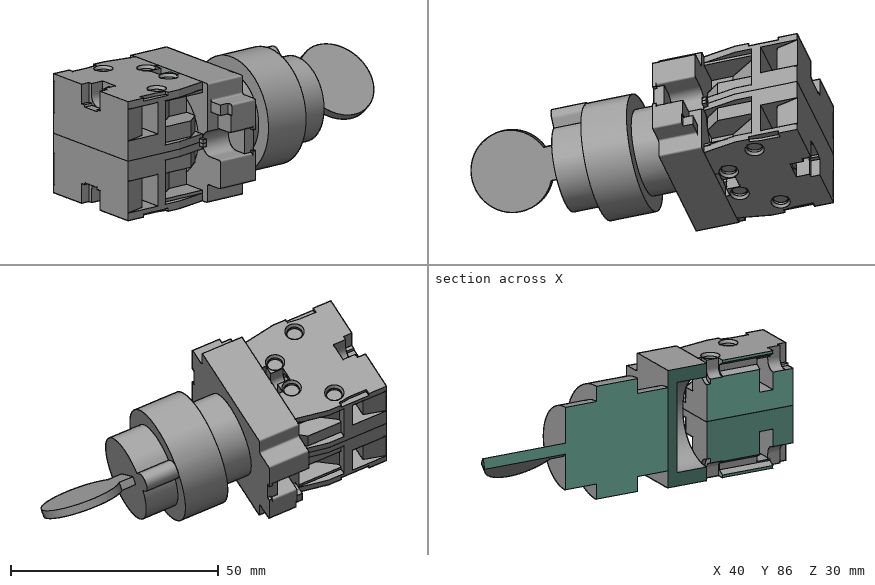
import cadquery as cq

total_length = 86.0
total_width = 40.0
total_height = 30.0
half_height = total_height / 2

block_length = 24.0
block_half_width = 14.45
block_neck_half_width = 12.9
block_taper_length = 8.3
key_tab_length = 1.0
key_tab_height = 0.95

pocket_length = 12.5
pocket_low_z = 1.9
pocket_high_z = 13.1
step_z = 5.85
step_ramp_length = 3.4
step_ramp_depth = 2.75
recess_high_z = 12.3
recess_flat_length = 5.4
recess_half_gap = 6.9
recess_end_half_gap = 12.0

window_back_y = -14.8
window_front_y = -18.4
window_low_z = 5.1
wedge_front_half_width = 14.4
wedge_back_half_width = 12.8

edge_notch_back_y = -11.7
edge_notch_bend_y = -14.5
edge_notch_front_y = -19.2
edge_notch_depth = 0.8
edge_notch_shallow_half_width = 13.5
edge_notch_deep_half_width = 13.1

screw_hole_radius = 2.3
screw_hole_floor_radius = 1.9
screw_hole_cone_depth = 0.8
screw_hole_depth = 1.4
screw_hole_places = [(4.3, -3.5), (10.3, -11.95)]

driver_slot_radius = 2.5
driver_slot_z = 12.0
mouth_length = 2.2
mouth_half_width = 3.5
mouth_shoulder_z = 10.1
mouth_floor_z = driver_slot_z - driver_slot_radius
mouth_shoulder_half_width = 2.5
mouth_floor_half_width = 2.3

terminal_z = 12.55
hex_across_corners = 3.35
rear_channel_radius = 1.8
rear_channel_end_y = -4.4
rear_mouth_half_width = 4.3
rear_mouth_length = 1.0

collar_length = 10.75
collar_half_width = 15.0
collar_fillet = 0.5
lug_half_height = 10.3
lug_half_width = total_width / 2
slot_half_height = 3.2
slot_back_half_height = 2.7
slot_back_y = 9.9
slot_web_half_width = 19.1
channel_length = 8.1
channel_center_x = 16.1
bore_radius = 11.4
bore_depth = channel_length
lug_notch_length = 3.2
catch_low_z = 7.65
catch_front_y = 1.0
catch_half_width = 18.6
catch_gap_end_y = 3.4

sleeve_radius = 10.7
ring_start_y = 19.1
ring_end_y = 30.6
ring_radius = 14.45
boss_end_y = 39.2
boss_radius = 10.6
rib_radius = 2.2
rib_center_distance = 12.5
key_angle = 45.0
key_thickness = 2.1
key_offset = 2.1
bow_radius = 10.0
key_stem_width = 8.25
key_tip_y = total_length - block_length
bow_center_y = key_tip_y - bow_radius


def box(x_range, y_range, z_range):
    """Box between two limits along each axis."""
    sizes = [limits[1] - limits[0] for limits in (x_range, y_range, z_range)]
    middles = [(limits[0] + limits[1]) / 2 for limits in (x_range, y_range, z_range)]
    return cq.Workplane("XY").box(*sizes).translate(tuple(middles))


def plan_prism(points, z_low, z_high):
    """Prism along Z over an outline of (x, y) points."""
    return cq.Workplane("XY", origin=(0, 0, z_low)).polyline(points).close().extrude(z_high - z_low)


def rod(radius, y_start, y_end, x=0.0, z=0.0):
    """Cylinder along Y."""
    return cq.Workplane("XZ", origin=(x, y_start, z)).circle(radius).extrude(y_start - y_end)


def both_sides(left_shape):
    """A shape on the -X side joined with its mirror image."""
    return left_shape.union(left_shape.mirror("YZ"))



def block_outline():
    """Block body, narrower towards the collar, with a small tab at each neck corner."""
    points = [
        (-block_neck_half_width, 0),
        (-block_half_width, -block_taper_length),
        (-block_half_width, -block_length),
        (block_half_width, -block_length),
        (block_half_width, -block_taper_length),
        (block_neck_half_width, 0),
    ]
    body = plan_prism(points, 0, half_height)
    tabs = box((-block_half_width, block_half_width), (-key_tab_length, 0), (0, key_tab_height))
    return body.union(tabs)


def side_pocket():
    """Pocket open to the side and to the collar, with a ramped step and a deeper recess above it."""
    outer = -block_half_width
    flush = -block_neck_half_width
    shallow = box((outer, flush), (-pocket_length, 0), (pocket_low_z, pocket_high_z))
    ramp = plan_prism(
        [(flush, 0), (flush + step_ramp_depth, 0), (flush, -step_ramp_length)],
        pocket_low_z,
        step_z,
    )
    recess = plan_prism(
        [
            (outer, 0),
            (-recess_half_gap, 0),
            (-recess_half_gap, -recess_flat_length),
            (-recess_end_half_gap, -pocket_length),
            (outer, -pocket_length),
        ],
        step_z,
        recess_high_z,
    )
    return both_sides(shallow.union(ramp).union(recess))


def side_window():
    """Window through the block along X, flared to the front on either side of a solid core."""
    passage = box(
        (-block_half_width, block_half_width),
        (window_front_y, window_back_y),
        (window_low_z, pocket_high_z),
    )
    flare = plan_prism(
        [
            (-block_half_width, window_front_y),
            (-wedge_back_half_width, window_front_y),
            (-wedge_front_half_width, -block_length),
            (-block_half_width, -block_length),
        ],
        window_low_z,
        pocket_high_z,
    )
    return passage.union(both_sides(flare))


def edge_notches():
    """Shallow stepped notches in the two long edges of the outer face."""
    notch = plan_prism(
        [
            (-block_half_width, edge_notch_back_y),
            (-edge_notch_shallow_half_width, edge_notch_back_y),
            (-edge_notch_deep_half_width, edge_notch_bend_y),
            (-edge_notch_deep_half_width, edge_notch_front_y),
            (-block_half_width, edge_notch_front_y),
        ],
        half_height - edge_notch_depth,
        half_height,
    )
    return both_sides(notch)


def screw_hole(x, y):
    """Shallow recess in the outer face, conical at the top and straight below."""
    cone = (
        cq.Workplane("XY", origin=(x, y, half_height))
        .circle(screw_hole_radius)
        .workplane(offset=-screw_hole_cone_depth)
        .circle(screw_hole_floor_radius)
        .loft()
    )
    straight = (
        cq.Workplane("XY", origin=(x, y, half_height))
        .circle(screw_hole_floor_radius)
        .extrude(-screw_hole_depth)
    )
    return cone.union(straight)


def open_channel(radius, y_start, y_end, center_z):
    """Round-bottomed channel along Y, open to the outer face."""
    upper = box((-radius, radius), (y_end, y_start), (center_z, half_height))
    return rod(radius, y_start, y_end, z=center_z).union(upper)


def front_terminal():
    """Driver slot with a wider mouth at the front, and the hexagonal hole behind it."""
    slot = open_channel(driver_slot_radius, window_front_y, -block_length, driver_slot_z)
    mouth = (
        cq.Workplane("XZ", origin=(0, -block_length + mouth_length, 0))
        .polyline([
            (-mouth_half_width, half_height),
            (-mouth_half_width, mouth_shoulder_z),
            (-mouth_shoulder_half_width, mouth_shoulder_z),
            (-mouth_floor_half_width, mouth_floor_z),
            (mouth_floor_half_width, mouth_floor_z),
            (mouth_shoulder_half_width, mouth_shoulder_z),
            (mouth_half_width, mouth_shoulder_z),
            (mouth_half_width, half_height),
        ])
        .close()
        .extrude(mouth_length)
    )
    hexagon = (
        cq.Workplane("XZ", origin=(0, rear_channel_end_y, terminal_z))
        .transformed(rotate=(0, 0, 90))
        .polygon(6, hex_across_corners)
        .extrude(rear_channel_end_y - window_front_y)
    )
    return slot.union(mouth).union(hexagon)


def rear_terminal():
    """Channel next to the collar with a wide, round-bottomed mouth."""
    channel = open_channel(rear_channel_radius, 0, rear_channel_end_y, terminal_z)
    mouth = open_channel(driver_slot_radius, 0, -rear_mouth_length, driver_slot_z)
    wide_mouth = box(
        (-rear_mouth_half_width, rear_mouth_half_width),
        (-rear_mouth_length, 0),
        (driver_slot_z, half_height),
    )
    return channel.union(mouth).union(wide_mouth)


def make_contact_block():
    """Contact block above the middle plane."""
    block = block_outline()
    for feature in (side_pocket(), side_window(), edge_notches(), front_terminal(), rear_terminal()):
        block = block.cut(feature)
    for x, y in screw_hole_places:
        for side in (-1, 1):
            block = block.cut(screw_hole(side * x, y))
    return block



def collar_body():
    """Square plate with a lug on each side, rounded along every edge that runs along Y."""
    length = (0, collar_length)
    plate = box((-collar_half_width, collar_half_width), length, (-half_height, half_height))
    lugs = box((-lug_half_width, lug_half_width), length, (-lug_half_height, lug_half_height))
    return plate.union(lugs).edges("|Y").fillet(collar_fillet)


def lug_slot():
    """Slot across the -X lug: rounded lips, a narrower back end and a deep round channel."""
    outer = -lug_half_width
    lip = slot_half_height + collar_fillet
    main = box((outer, -slot_web_half_width), (0, slot_back_y), (-slot_half_height, slot_half_height))
    back = box(
        (outer, -slot_web_half_width),
        (0, collar_length),
        (-slot_back_half_height, slot_back_half_height),
    )
    lips = box((outer, outer + collar_fillet), (0, slot_back_y), (-lip, lip))
    for side in (-1, 1):
        lips = lips.cut(rod(collar_fillet, 0, slot_back_y, x=outer + collar_fillet, z=side * lip))
    channel = box((outer, -channel_center_x), (0, channel_length), (-slot_half_height, slot_half_height))
    channel_floor = rod(slot_half_height, 0, channel_length, x=-channel_center_x)
    return main.union(back).union(lips).union(channel).union(channel_floor)


def lug_notch():
    """Cut in the front of the -X lug below its slot that leaves a small catch standing."""
    outer = -lug_half_width
    root = -collar_half_width
    bottom = -lug_half_height - collar_fillet
    notch = box((outer, root), (0, lug_notch_length), (bottom, 0))
    catch = box((-catch_half_width, root), (catch_front_y, lug_notch_length), (bottom, -catch_low_z))
    gap = box((outer, -catch_half_width), (0, catch_gap_end_y), (bottom, -catch_low_z))
    return notch.cut(catch).union(gap)


def make_collar():
    """Collar; the +X side is the -X side turned half a turn about Y."""
    cuts = lug_slot().union(lug_notch())
    turned_cuts = cuts.rotate((0, 0, 0), (0, 1, 0), 180)
    bore = rod(bore_radius, 0, bore_depth)
    return collar_body().cut(bore).cut(cuts).cut(turned_cuts)



def make_key():
    """Flat key with a round bow, lying in the YZ plane."""
    half_thickness = key_thickness / 2
    half_stem = key_stem_width / 2
    bow = (
        cq.Workplane("YZ", origin=(-half_thickness, bow_center_y, key_offset))
        .circle(bow_radius)
        .extrude(key_thickness)
    )
    stem = box(
        (-half_thickness, half_thickness),
        (boss_end_y, bow_center_y),
        (key_offset - half_stem, key_offset + half_stem),
    )
    return bow.union(stem)


def make_rib():
    """Rounded rib along the boss on the side that the key leans to."""
    bar = box((-rib_radius, rib_radius), (ring_end_y, boss_end_y), (0, rib_center_distance))
    return bar.union(rod(rib_radius, ring_end_y, boss_end_y, z=rib_center_distance))


def make_head():
    """Sleeve, ring, boss, rib and key, all turned together about the head's axis."""
    sleeve = rod(sleeve_radius, collar_length, ring_start_y)
    ring = rod(ring_radius, ring_start_y, ring_end_y)
    boss = rod(boss_radius, ring_end_y, boss_end_y)
    head = sleeve.union(ring).union(boss).union(make_rib()).union(make_key())
    return head.rotate((0, 0, 0), (0, 1, 0), -key_angle)


upper_block = make_contact_block()
lower_block = upper_block.mirror("XY")
collar = make_collar()
head = make_head()

result = cq.Compound.makeCompound([upper_block.val(), lower_block.val(), collar.val(), head.val()])